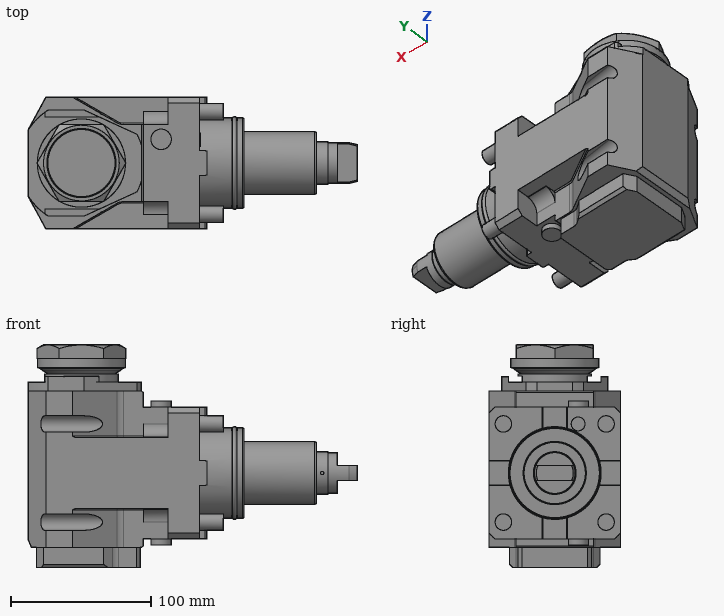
import cadquery as cq
import math


half_width = 47.0
body_length = 82.2
body_top = 58.5
body_bottom = -53.0
nose_half_width = 23.7
nose_depth = 12.7
nose_edge_run = 2.4
nose_edge_rise = 5.6
back_edge = 1.2

rib_half_height = 25.4
wall_half_width = 27.5
wall_corner_x = 65.5
wall_angle = 30.0
wall_blend = 9.5
wall_foot = 1.0

flange_start = 99.9
flange_end = 122.5
flange_edge = 4.2
bolt_y = 36.7
bolt_z = 35.0
bolt_radius = 5.9
bolt_length = 17.0
head_radius = 9.2
key_half_width = 9.0
key_height = 5.2
key_taper_height = 1.5
key_taper = 0.5
locating_pin_y = 16.7
locating_pin_radius = 5.0
locating_pin_height = 0.7

groove_radius = 5.9
groove_start_x = 9.5
groove_start_y = 46.3
groove_tilt = 7.4
groove_overrun = 14.0
groove_length = 61.0

plug_x = 95.0
plug_y = 17.0
plug_radius = 7.3
plug_height = 4.5

collar_radius = 32.5
collar_end = 154.2
collar_edge = 1.2
ring_x = 147.3
ring_groove_width = 3.8
ring_groove_radius = 30.3
ring_section = 1.6
ring_center_radius = 31.5
shank_radius = 22.5
shank_end = 205.9
shank_edge = 1.5
pilot_radius = 15.3
pilot_end = 213.8
tip_radius = 14.5
tang_start = 220.7
tang_cone_start = 229.1
tang_end_radius = 13.2
tang_half_thickness = 5.5
total_length = 235.0
pilot_hole_radius = 1.2
pilot_hole_depth = 2.4

spindle_x = 38.0
cover_top = 64.9
cover_radius = 44.6
cover_half_width = 37.8
cover_back = 80.8
cover_slant_start = 40.0
cover_slant_angle = 24.6
rail_top = 68.9
rail_start = 12.2
rail_inner_y = 33.0
recess_radius = 29.4
recess_depth = 1.2

neck_radius = 26.3
neck_half_flats = 23.3
neck_flats_top = 69.0
neck_top = 70.7
throat_radius = 24.0
lip_radius = 27.7
lip_height = 73.0
cone_radius = 29.4
cone_top = 74.5
nut_collar_bottom = 75.2
nut_collar_radius = 31.5
hex_bottom = 81.8
hex_top = 91.6
hex_half_flats = 27.5
hex_face_radius = 27.0
hex_bevel_angle = 31.0
nut_bore_radius = 24.0
nut_bore_edge = 0.7
nut_bore_depth = 5.9

base_bottom = -67.5
base_front = 5.9
base_back = 80.1
base_half_width = 32.5
base_wall_half_width = 26.3
base_wall_angle = 36.0
base_wall_blend = 7.0
base_nose_half_width = 23.3
base_nose_depth = 5.2
base_slant_start = 53.8
base_back_edge = 2.8
base_lower_edge = 2.4


def box(x0, x1, y0, y1, z0, z1):
    return cq.Workplane("XY").box(x1 - x0, y1 - y0, z1 - z0, centered=False).translate((x0, y0, z0))


def prism(points, z0, z1):
    return cq.Workplane("XY").workplane(offset=z0).polyline(points).close().extrude(z1 - z0)


def x_cylinder(x0, x1, y, z, radius):
    return cq.Workplane("YZ", origin=(x0, y, z)).circle(radius).extrude(x1 - x0)


def z_cylinder(x, y, z0, z1, radius):
    return cq.Workplane("XY", origin=(x, y, z0)).circle(radius).extrude(z1 - z0)


def four_corners(solid):
    """The solid together with its mirror images in Y and Z."""
    pair = solid.union(solid.mirror("XZ"))
    return pair.union(pair.mirror("XY"))


def mirrored_outline(points):
    """Closed outline from its +Y half, listed from front to back."""
    return points + [(x, -y) for x, y in reversed(points)]


def make_block():
    outline = mirrored_outline([
        (0, nose_half_width),
        (nose_depth, half_width),
        (body_length, half_width),
    ])
    block = prism(outline, body_bottom, body_top)
    block = block.faces(">X").edges("|Y").chamfer(back_edge)
    nose_cut = (
        cq.Workplane("XZ", origin=(0, half_width, 0))
        .polyline([(0, body_bottom), (nose_edge_run, body_bottom), (0, body_bottom + nose_edge_rise)])
        .close()
        .extrude(2 * half_width)
    )
    neck = box(body_length, flange_start, -half_width, half_width, -half_width, half_width)
    return block.cut(nose_cut).union(neck)


def make_wall_cutter():
    """Space outside the narrow wall, above the rib on the +Y side."""
    outer_y = half_width + wall_blend
    slant_run = (outer_y - wall_half_width) / math.tan(math.radians(wall_angle))
    cutter = prism(
        [
            (flange_start, wall_half_width),
            (wall_corner_x, wall_half_width),
            (wall_corner_x - slant_run, outer_y),
            (flange_start, outer_y),
        ],
        rib_half_height,
        body_top,
    )
    mid_height = (rib_half_height + body_top) / 2
    corner = cq.selectors.NearestToPointSelector((wall_corner_x, wall_half_width, mid_height))
    cutter = cutter.edges("|Z").edges(corner).fillet(wall_blend)
    return cutter.faces("<Z").edges("not(>X or >Y)").chamfer(wall_foot)


def make_head_seat():
    """Concave filling around a bolt head, between the wall and the rib."""
    filling = box(body_length, flange_start, wall_half_width, bolt_y, rib_half_height, bolt_z)
    return filling.cut(x_cylinder(body_length, flange_start, bolt_y, bolt_z, head_radius))


def make_tool_groove():
    """U-shaped groove with a round bottom, open to the outside and leaning inward."""
    end = groove_length - groove_overrun
    round_bottom = x_cylinder(-groove_overrun, end, 0, 0, groove_radius)
    open_side = box(-groove_overrun, end, 0, half_width, -groove_radius, groove_radius)
    groove = round_bottom.union(open_side).rotate((0, 0, 0), (0, 0, 1), -groove_tilt)
    return groove.translate((groove_start_x, groove_start_y, bolt_z))


def make_flange():
    depth = flange_end - flange_start
    flange = (
        cq.Workplane("YZ", origin=(flange_start, 0, 0))
        .rect(2 * half_width, 2 * half_width)
        .extrude(depth)
        .edges("|X")
        .chamfer(flange_edge)
    )
    bolt = x_cylinder(flange_end, flange_end + bolt_length, bolt_y, bolt_z, bolt_radius)
    locating_pin = x_cylinder(
        flange_end, flange_end + locating_pin_height, locating_pin_y, bolt_z, locating_pin_radius
    )
    return flange.union(four_corners(bolt)).union(locating_pin)


def make_keys():
    """Cross of two tenons on the flange face, narrowing at the free end."""
    key_end = flange_end + key_height
    taper_start = key_end - key_taper_height
    key = prism(
        mirrored_outline([
            (flange_end, key_half_width),
            (taper_start, key_half_width),
            (key_end, key_half_width - key_taper),
        ]),
        -half_width,
        half_width,
    )
    return key.union(key.rotate((0, 0, 0), (1, 0, 0), 90))


def make_shank():
    groove_start = ring_x - ring_groove_width / 2
    groove_end = ring_x + ring_groove_width / 2
    shank = (
        cq.Workplane("XY")
        .polyline([
            (flange_end, 0),
            (flange_end, collar_radius),
            (groove_start, collar_radius),
            (groove_start, ring_groove_radius),
            (groove_end, ring_groove_radius),
            (groove_end, collar_radius),
            (collar_end - collar_edge, collar_radius),
            (collar_end, collar_radius - collar_edge / 2),
            (collar_end, shank_radius),
            (shank_end - shank_edge, shank_radius),
            (shank_end, shank_radius - shank_edge / 2),
            (shank_end, pilot_radius),
            (pilot_end, pilot_radius),
            (pilot_end, tip_radius),
            (tang_cone_start, tip_radius),
            (total_length, tang_end_radius),
            (total_length, 0),
        ])
        .close()
        .revolve(360, (0, 0, 0), (1, 0, 0))
    )
    seal_ring = (
        cq.Workplane("XY")
        .center(ring_x, ring_center_radius)
        .circle(ring_section)
        .revolve(360, (0, -ring_center_radius, 0), (1, -ring_center_radius, 0))
    )
    above_tang = box(
        tang_start, total_length, -tip_radius, tip_radius, tang_half_thickness, tip_radius
    )
    pilot_hole = (
        cq.Workplane("XZ", origin=((shank_end + pilot_end) / 2, pilot_hole_depth - pilot_radius, 0))
        .circle(pilot_hole_radius)
        .extrude(pilot_hole_depth)
    )
    return shank.union(seal_ring).cut(above_tang).cut(above_tang.mirror("XY")).cut(pilot_hole)


def make_cover():
    slant_drop = (cover_back - cover_slant_start) * math.tan(math.radians(cover_slant_angle))
    outline = mirrored_outline([
        (0, cover_half_width),
        (cover_slant_start, cover_half_width),
        (cover_back, cover_half_width - slant_drop),
    ])
    raised = prism(outline, body_top, rail_top)
    raised = raised.intersect(z_cylinder(spindle_x, 0, body_top, rail_top, cover_radius))
    plate = raised.intersect(box(0, cover_back, -half_width, half_width, body_top, cover_top))
    plate = plate.cut(z_cylinder(spindle_x, 0, cover_top - recess_depth, cover_top, recess_radius))
    rail_space = box(rail_start, cover_back, rail_inner_y, half_width, body_top, rail_top)
    rails = raised.intersect(rail_space.union(rail_space.mirror("XZ")))
    return plate.union(rails)


def make_nut():
    """Collet nut with its neck, built on the Z axis and moved to the spindle axis."""
    neck = z_cylinder(0, 0, body_top, neck_flats_top, neck_radius).intersect(
        box(-neck_radius, neck_radius, -neck_half_flats, neck_half_flats, body_top, neck_flats_top)
    )
    turned = (
        cq.Workplane("XZ")
        .polyline([
            (0, neck_flats_top),
            (neck_radius, neck_flats_top),
            (neck_radius, neck_top),
            (throat_radius, neck_top),
            (lip_radius, lip_height),
            (cone_radius, cone_top),
            (nut_collar_radius, nut_collar_bottom),
            (nut_collar_radius, hex_bottom),
            (0, hex_bottom),
        ])
        .close()
        .revolve(360, (0, 0, 0), (0, 1, 0))
    )
    corner_radius = hex_half_flats / math.cos(math.pi / 6)
    bevel_drop = (corner_radius - hex_face_radius) * math.tan(math.radians(hex_bevel_angle))
    bevel_envelope = (
        cq.Workplane("XZ")
        .polyline([
            (0, hex_bottom),
            (corner_radius, hex_bottom),
            (corner_radius, hex_top - bevel_drop),
            (hex_face_radius, hex_top),
            (0, hex_top),
        ])
        .close()
        .revolve(360, (0, 0, 0), (0, 1, 0))
    )
    hexagon = (
        cq.Workplane("XY", origin=(0, 0, hex_bottom))
        .polygon(6, 2 * corner_radius)
        .extrude(hex_top - hex_bottom)
        .intersect(bevel_envelope)
    )
    bore = z_cylinder(0, 0, hex_top - nut_bore_depth, hex_top, nut_bore_radius)
    hexagon = hexagon.cut(bore)
    bore_rim = cq.selectors.RadiusNthSelector(0)
    hexagon = hexagon.faces(">Z").edges(bore_rim).chamfer(nut_bore_edge)
    return neck.union(turned).union(hexagon).translate((spindle_x, 0, 0))


def make_base():
    slant_run = (base_half_width - base_wall_half_width) / math.tan(math.radians(base_wall_angle))
    corner_x = base_slant_start + slant_run
    outline = mirrored_outline([
        (base_front, base_nose_half_width),
        (base_front + base_nose_depth, base_half_width),
        (base_slant_start, base_half_width),
        (corner_x, base_wall_half_width),
        (base_back - base_back_edge, base_wall_half_width),
        (base_back, base_wall_half_width - base_back_edge),
    ])
    base = prism(outline, base_bottom, body_bottom)
    mid_height = (base_bottom + body_bottom) / 2
    for corner_y in (base_wall_half_width, -base_wall_half_width):
        corner = cq.selectors.NearestToPointSelector((corner_x, corner_y, mid_height))
        base = base.edges("|Z").edges(corner).fillet(base_wall_blend)
    bevel = (
        cq.Workplane("YZ", origin=(base_front, 0, 0))
        .polyline([
            (base_half_width, base_bottom),
            (base_half_width, base_bottom + base_lower_edge),
            (base_half_width - base_lower_edge, base_bottom),
        ])
        .close()
        .extrude(base_back - base_front)
    )
    return base.cut(bevel).cut(bevel.mirror("XZ"))


plugs = z_cylinder(
    plug_x, plug_y, -half_width - plug_height, half_width + plug_height, plug_radius
)

wall_space = make_wall_cutter()
lower_wall_space = wall_space.mirror("XY")

result = (
    make_block()
    .cut(wall_space)
    .cut(wall_space.mirror("XZ"))
    .cut(lower_wall_space)
    .cut(lower_wall_space.mirror("XZ"))
    .union(four_corners(make_head_seat()))
    .cut(four_corners(make_tool_groove()))
    .union(make_flange())
    .union(make_keys())
    .union(make_shank())
    .union(plugs)
    .union(make_cover())
    .union(make_nut())
    .union(make_base())
)